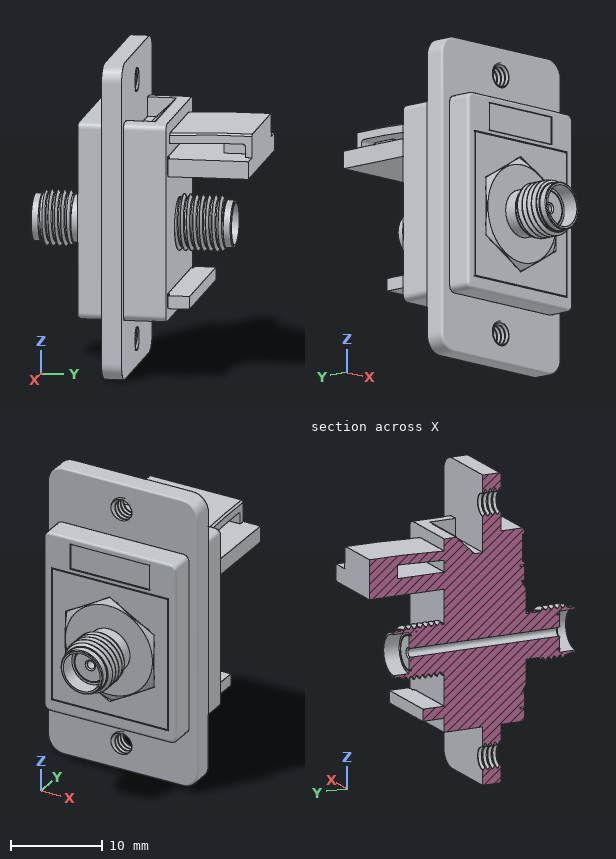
import cadquery as cq
import math


PLATE_WIDTH = 19.0
PLATE_HEIGHT = 35.5
PLATE_THICKNESS = 2.3
PLATE_CORNER_RADIUS = 2.0
PLATE_EDGE_FILLET = 0.25

HOLE_OFFSET = 14.5
HOLE_DIAMETER = 2.26
HOLE_THREAD_DIAMETER = 3.0
HOLE_PITCH = 0.6

HOUSING_WIDTH = 16.7
HOUSING_HEIGHT = 22.15
HOUSING_FRONT = -2.87
HOUSING_BACK = 7.03
HOUSING_CORNER_RADIUS = 0.75
HOUSING_EDGE_FILLET = 0.33

LABEL_WIDTH = 10.0
LABEL_HEIGHT = 3.1
LABEL_BOTTOM = 7.23
LABEL_DEPTH = 0.2

OPENING_WIDTH = 14.77
OPENING_TOP = 6.8
OPENING_BOTTOM = -9.58
GAP_WIDTH = 0.12
GAP_DEPTH = 0.5
INSERT_WIDTH = OPENING_WIDTH - 2 * GAP_WIDTH

POCKET_WIDTH = 13.05
POCKET_BACK = 5.47
POCKET_FLOOR = 8.9
HOOK_FRONT = 3.26
HOOK_TOP = 11.0

REAR_END = 16.2
LEDGE_WIDTH = 16.35
LEDGE_BOTTOM = 5.29
LEDGE_TOP = 7.29
NECK_LENGTH = 0.2
TAB_BOTTOM = -9.48
TAB_TOP = -8.03
TAB_END = 9.65
LATCH_WIDTH = 12.0
LATCH_TOP = 9.9
LATCH_THICKNESS = 1.12
LATCH_BEND = 12.25
LATCH_DROP = 0.2
LATCH_EDGE_CHAMFER = 0.22
LATCH_END_WALL = 0.72
LATCH_INNER_RADIUS = 0.35
RIB_FRONT = 12.7
RIB_WIDTH = 8.0

RIDGE_BASE = 0.98
RIDGE_CREST = 0.06

JACK_Z = -1.42
HEX_FLATS = 11.2
HEX_FACE_DIAMETER = 11.0
HEX_PROTRUSION = 0.2
HEX_DEPTH = 1.0
HEX_CHAMFER_ANGLE = 30.0
HEX_HALF_ANGLE = 30.0
BARREL_DIAMETER = 5.3
BARREL_CHAMFER = 0.1
THREAD_DIAMETER = 6.25
THREAD_PITCH = 25.4 / 36
THREAD_SINK = 0.09
FRONT_TIP = -9.1
REAR_TIP = 13.26
THREAD_ROOT_DIAMETER = 5.45
FRONT_THREAD_LENGTH = 3.65
REAR_THREAD_LENGTH = 5.77
THREAD_TO_TIP = 0.87
BORE_DIAMETER = 4.65
BORE_DEPTH = 1.9
DIELECTRIC_DIAMETER = 3.9
DIELECTRIC_GAP_DIAMETER = 4.1
DIELECTRIC_GAP_DEPTH = 0.3
CONTACT_DIAMETER = 1.27
CONTACT_HOLE_DIAMETER = 0.95

OVERLAP = 0.1


def block(width, front, back, bottom, top):
    """Box centred on X between the given Y and Z limits."""
    size = (width, back - front, top - bottom)
    middle = (0, (front + back) / 2, (bottom + top) / 2)
    return cq.Workplane("XY").box(*size).translate(middle)


def rounded_slab(width, height, front, back, corner_radius, front_fillet):
    """Slab facing -Y with rounded corners and a filleted front rim."""
    slab = block(width, front, back, -height / 2, height / 2)
    return slab.edges("|Y").fillet(corner_radius).faces("<Y").edges().fillet(front_fillet)


def side_profile(points):
    """Closed outline through (Y, Z) points in the plane X = 0."""
    return cq.Workplane("YZ").polyline(points).close()


def helical_ridge(root_radius, tip_radius, pitch, turns, root_width, tip_width):
    """Trapezoidal ridge wound around +Z, starting at Z = 0."""
    path = cq.Workplane(cq.Wire.makeHelix(pitch, pitch * turns, root_radius))
    section = cq.Workplane("XZ").polyline([
        (root_radius, -root_width / 2),
        (tip_radius, -tip_width / 2),
        (tip_radius, tip_width / 2),
        (root_radius, root_width / 2),
    ]).close()
    return section.sweep(path, isFrenet=True)


def mounting_hole():
    """Cutter for one threaded hole through the plate, centred on Z = 0."""
    length = PLATE_THICKNESS + 2 * HOLE_PITCH
    core = cq.Workplane("XY").circle(HOLE_DIAMETER / 2).extrude(length)
    turns = math.ceil(length / HOLE_PITCH) - 1
    ridge = helical_ridge(HOLE_DIAMETER / 2 - OVERLAP, HOLE_THREAD_DIAMETER / 2, HOLE_PITCH, turns,
                          RIDGE_BASE * HOLE_PITCH, RIDGE_CREST * HOLE_PITCH)
    cutter = core.union(ridge.translate((0, 0, HOLE_PITCH / 2)))
    return cutter.rotate((0, 0, 0), (1, 0, 0), -90).translate((0, -HOLE_PITCH, 0))


def make_plate():
    """Mounting plate with a threaded hole near each end."""
    plate = rounded_slab(PLATE_WIDTH, PLATE_HEIGHT, 0, PLATE_THICKNESS,
                         PLATE_CORNER_RADIUS, PLATE_EDGE_FILLET)
    for hole_z in (HOLE_OFFSET, -HOLE_OFFSET):
        plate = plate.cut(mounting_hole().translate((0, 0, hole_z)))
    return plate


def make_housing():
    """Housing block with the label recess, the gap around the insert and the latch pocket."""
    housing = rounded_slab(HOUSING_WIDTH, HOUSING_HEIGHT, HOUSING_FRONT, HOUSING_BACK,
                           HOUSING_CORNER_RADIUS, HOUSING_EDGE_FILLET)
    cut_front = HOUSING_FRONT - OVERLAP
    label = block(LABEL_WIDTH, cut_front, HOUSING_FRONT + LABEL_DEPTH,
                  LABEL_BOTTOM, LABEL_BOTTOM + LABEL_HEIGHT)
    gap_back = HOUSING_FRONT + GAP_DEPTH
    opening = block(OPENING_WIDTH, cut_front, gap_back, OPENING_BOTTOM, OPENING_TOP)
    insert = block(INSERT_WIDTH, cut_front, gap_back, OPENING_BOTTOM + GAP_WIDTH, OPENING_TOP - GAP_WIDTH)
    housing = housing.cut(label).cut(opening.cut(insert))
    return housing.cut(latch_pocket())


def latch_pocket():
    """Cutter for the pocket in the housing top, leaving the ramped hook standing."""
    pocket = block(POCKET_WIDTH, PLATE_THICKNESS, POCKET_BACK, POCKET_FLOOR, HOUSING_HEIGHT / 2 + OVERLAP)
    hook = side_profile([
        (HOOK_FRONT, POCKET_FLOOR),
        (POCKET_BACK, POCKET_FLOOR),
        (POCKET_BACK, HOOK_TOP),
    ]).extrude(LATCH_WIDTH / 2, both=True)
    return pocket.cut(hook)


def rear_bar(end, bottom, top):
    """Flat bar behind the housing, carried by a narrower neck."""
    neck = block(INSERT_WIDTH, HOUSING_BACK - OVERLAP, HOUSING_BACK + NECK_LENGTH, bottom, top)
    return neck.union(block(LEDGE_WIDTH, HOUSING_BACK + NECK_LENGTH, end, bottom, top))


def make_latch():
    """Sprung arm that rises from the ledge's rear end and reaches forward to the housing."""
    wall_inside = REAR_END - LATCH_END_WALL
    arm_front = HOUSING_BACK - OVERLAP
    underside = LATCH_TOP - LATCH_THICKNESS
    top_edges = cq.selectors.BoxSelector(
        (-LATCH_WIDTH, arm_front + OVERLAP / 2, underside + LATCH_THICKNESS / 2),
        (LATCH_WIDTH, REAR_END + OVERLAP, LATCH_TOP + OVERLAP))
    arm = side_profile([
        (REAR_END, LEDGE_TOP),
        (REAR_END, LATCH_TOP),
        (LATCH_BEND, LATCH_TOP),
        (arm_front, LATCH_TOP - LATCH_DROP),
        (arm_front, underside - LATCH_DROP),
        (LATCH_BEND, underside),
        (wall_inside, underside),
        (wall_inside, LEDGE_TOP),
    ]).extrude(LATCH_WIDTH / 2, both=True)
    inner_corner = cq.selectors.NearestToPointSelector((0, wall_inside, underside))
    arm = arm.edges("|X").edges(inner_corner).fillet(LATCH_INNER_RADIUS)
    side_edges = arm.faces("<X or >X").edges(top_edges).edges("not |Z")
    arm = side_edges.chamfer(LATCH_EDGE_CHAMFER)
    rib = block(RIB_WIDTH, RIB_FRONT, REAR_END - LATCH_END_WALL / 2, LEDGE_TOP - OVERLAP, underside + OVERLAP)
    return arm.union(rib)


def hex_prism():
    """Plain hexagon with two points on Y, running down from its front face at Z = 0."""
    corner_diameter = HEX_FLATS / math.cos(math.radians(HEX_HALF_ANGLE))
    prism = cq.Workplane("XY").polygon(6, corner_diameter).extrude(-HEX_DEPTH)
    return prism.rotate((0, 0, 0), (0, 0, 1), HEX_HALF_ANGLE)


def chamfered_hex():
    """The hexagon with its front corners turned down to a circular face."""
    face_radius = HEX_FACE_DIAMETER / 2
    flare = HEX_DEPTH / math.tan(math.radians(HEX_CHAMFER_ANGLE))
    cone = cq.Workplane("XZ").polyline([
        (0, 0),
        (face_radius, 0),
        (face_radius + flare, -HEX_DEPTH),
        (0, -HEX_DEPTH),
    ]).close().revolve(360, (0, 0, 0), (0, 1, 0))
    return hex_prism().intersect(cone)


def thread_end_cutter():
    """Ring that trims a thread to a 45 degree taper rising along +Z from the end at Z = 0."""
    inner_radius = THREAD_ROOT_DIAMETER / 2 - THREAD_SINK - OVERLAP
    outer_radius = THREAD_DIAMETER / 2 + OVERLAP
    profile = cq.Workplane("XZ").polyline([
        (inner_radius, -2 * THREAD_PITCH),
        (inner_radius, -OVERLAP),
        (outer_radius, outer_radius - inner_radius - OVERLAP),
        (outer_radius, -2 * THREAD_PITCH),
    ]).close()
    return profile.revolve(360, (0, 0, 0), (0, 1, 0))


def make_thread(length):
    """Sleeve along +Z from Z = 0 with a helical ridge that tapers off at both ends."""
    root_radius = THREAD_ROOT_DIAMETER / 2
    turns = math.ceil(length / THREAD_PITCH) + 1
    ridge = helical_ridge(root_radius - THREAD_SINK, THREAD_DIAMETER / 2, THREAD_PITCH, turns,
                          RIDGE_BASE * THREAD_PITCH, RIDGE_CREST * THREAD_PITCH)
    ridge = ridge.translate((0, 0, -THREAD_PITCH / 2))
    start_cutter = thread_end_cutter()
    end_cutter = start_cutter.mirror("XY").translate((0, 0, length))
    sleeve = cq.Workplane("XY").circle(root_radius).extrude(length)
    return sleeve.union(ridge.cut(start_cutter).cut(end_cutter))


def make_barrel(length, thread_length):
    """Threaded barrel along +Z with a socket bored into its tip at Z = length."""
    barrel = cq.Workplane("XY").circle(BARREL_DIAMETER / 2).extrude(length)
    barrel = barrel.faces(">Z").edges().chamfer(BARREL_CHAMFER)
    thread_start = length - THREAD_TO_TIP - thread_length
    barrel = barrel.union(make_thread(thread_length).translate((0, 0, thread_start)))
    floor = length - BORE_DEPTH
    bore = cq.Workplane("XY", origin=(0, 0, floor)).circle(BORE_DIAMETER / 2).extrude(BORE_DEPTH)
    groove = (
        cq.Workplane("XY", origin=(0, 0, floor))
        .circle(DIELECTRIC_GAP_DIAMETER / 2)
        .circle(DIELECTRIC_DIAMETER / 2)
        .extrude(-DIELECTRIC_GAP_DEPTH)
    )
    sink_depth = (CONTACT_DIAMETER - CONTACT_HOLE_DIAMETER) / 2
    countersink = cq.Workplane("XY", origin=(0, 0, floor)).circle(CONTACT_DIAMETER / 2)
    countersink = countersink.workplane(offset=-sink_depth).circle(CONTACT_HOLE_DIAMETER / 2).loft()
    return barrel.cut(bore).cut(groove).cut(countersink)


def place(shape, y, faces_front):
    """Lay a shape built along +Z onto the connector axis, facing -Y or +Y, with its origin at y."""
    angle = 90 if faces_front else -90
    return shape.rotate((0, 0, 0), (1, 0, 0), angle).translate((0, y, JACK_Z))


def add_connector(body):
    """Fit the hexagon and both threaded barrels, then bore the contact hole through."""
    hex_front = HOUSING_FRONT - HEX_PROTRUSION
    body = body.cut(place(hex_prism(), hex_front, True))
    body = body.union(place(chamfered_hex(), hex_front, True))

    front_root = hex_front + HEX_DEPTH / 2
    front_barrel = make_barrel(front_root - FRONT_TIP, FRONT_THREAD_LENGTH)
    body = body.union(place(front_barrel, front_root, True))

    rear_root = PLATE_THICKNESS
    rear_barrel = make_barrel(REAR_TIP - rear_root, REAR_THREAD_LENGTH)
    body = body.union(place(rear_barrel, rear_root, False))

    contact_hole = cq.Workplane("XY").circle(CONTACT_HOLE_DIAMETER / 2).extrude(REAR_TIP - FRONT_TIP)
    return body.cut(place(contact_hole, FRONT_TIP, False))


result = make_plate().union(make_housing())
result = result.union(rear_bar(REAR_END, LEDGE_BOTTOM, LEDGE_TOP))
result = result.union(rear_bar(TAB_END, TAB_BOTTOM, TAB_TOP))
result = result.union(make_latch())
result = add_connector(result)